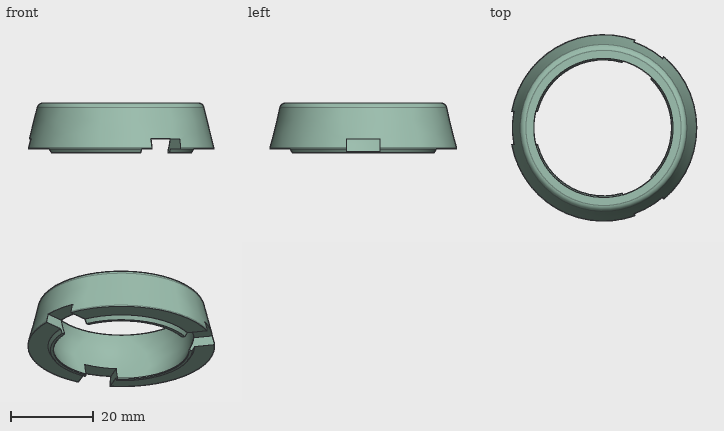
import cadquery as cq

total_height = 12.1
base_radius = 22.55
rim_bottom = 1.0
rim_height = 0.3
shoulder_radius = 20.2
shoulder_height = 11.0
top_face_radius = 18.8
lip_bottom_radius = 17.15
lip_top_radius = 17.75
bore_top_radius = 16.85
bore_middle_radius = 17.88
bore_bottom_radius = 16.45
bore_land_height = 0.3
notch_count = 3
notch_width = 8.0
notch_height = 3.4
first_notch_angle = 60.0

rounding_mid_radius = 19.73
rounding_mid_height = 11.75


def ring_body():
    """Revolve the half section: conical outside, barrel-shaped bore, lip below."""
    section = (
        cq.Workplane("XZ")
        .moveTo(bore_bottom_radius, 0)
        .lineTo(lip_bottom_radius, 0)
        .lineTo(lip_top_radius, rim_bottom)
        .lineTo(base_radius, rim_bottom)
        .lineTo(base_radius, rim_bottom + rim_height)
        .lineTo(shoulder_radius, shoulder_height)
        .threePointArc(
            (rounding_mid_radius, rounding_mid_height),
            (top_face_radius, total_height),
        )
        .lineTo(bore_top_radius, total_height)
        .threePointArc(
            (bore_middle_radius, (total_height + bore_land_height) / 2),
            (bore_bottom_radius, bore_land_height),
        )
        .close()
    )
    return section.revolve(360, (0, 0, 0), (0, 1, 0))


def notch(angle):
    """Straight-sided radial slot through the wall, open at the bottom."""
    return (
        cq.Workplane("XY")
        .rect(2 * base_radius, notch_width)
        .extrude(notch_height)
        .translate((base_radius, 0, 0))
        .rotate((0, 0, 0), (0, 0, 1), angle)
    )


result = ring_body()
for index in range(notch_count):
    result = result.cut(notch(first_notch_angle + index * 360 / notch_count))